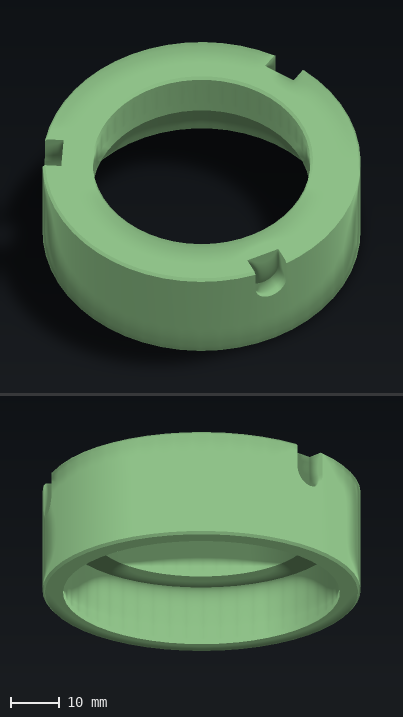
import cadquery as cq

outer_diameter = 65.0
height = 22.5
edge_chamfer = 0.5

bore_diameter = 44.5
bore_length = 10.0
recess_diameter = 56.55

slot_count = 3
first_slot_angle = 90.0
slot_width = 7.0
slot_height = 8.5
slot_depth = 4.0


def make_ring():
    """Chamfered ring with a stepped bore, standing on Z = 0."""
    body = cq.Workplane("XY").circle(outer_diameter / 2).extrude(height)
    body = body.faces("<Z or >Z").chamfer(edge_chamfer)

    recess_height = height - bore_length
    bore = cq.Workplane("XY").circle(bore_diameter / 2).extrude(height)
    recess = cq.Workplane("XY").circle(recess_diameter / 2).extrude(recess_height)
    body = body.cut(bore).cut(recess)

    bore_edge = cq.selectors.RadiusNthSelector(0)
    return body.faces(">Z").edges(bore_edge).chamfer(edge_chamfer)


def make_slot_cutter():
    """Slot pointing along +X, with a flat inner wall and a half-round bottom."""
    half_width = slot_width / 2
    arc_center_z = height - slot_height + half_width
    return (
        cq.Workplane("YZ", origin=(outer_diameter / 2 - slot_depth, 0, 0))
        .moveTo(-half_width, height)
        .lineTo(-half_width, arc_center_z)
        .threePointArc((0, height - slot_height), (half_width, arc_center_z))
        .lineTo(half_width, height)
        .close()
        .extrude(slot_depth)
    )


result = make_ring()
slot_cutter = make_slot_cutter()
for index in range(slot_count):
    slot_angle = first_slot_angle + index * 360.0 / slot_count
    result = result.cut(slot_cutter.rotate((0, 0, 0), (0, 0, 1), slot_angle))